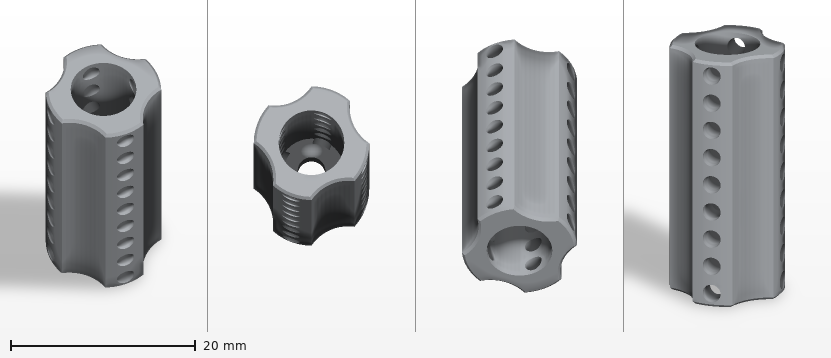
import cadquery as cq

body_diameter = 12.5
hole_rows = 9
row_pitch = 3.125
body_height = hole_rows * row_pitch
edge_chamfer = 0.3

flute_count = 4
flute_first_angle = 45
flute_radius = 4.75
flute_depth = 1.28

bore_diameter = 7.1
web_drop = 3.0
web_thickness = 2.55
web_top = body_height / 2 - web_drop
web_bottom = web_top - web_thickness
web_hole_diameter = 3.0

side_hole_diameter = 2.0
side_hole_core_diameter = 6.0
lobe_count = flute_count


def cylinder(diameter, bottom, top):
    """Cylinder about the part axis between two heights."""
    return cq.Workplane("XY").workplane(offset=bottom).circle(diameter / 2).extrude(top - bottom)


def fluted_body():
    """Round bar with concave flutes and chamfered end edges."""
    flute_center_distance = body_diameter / 2 - flute_depth + flute_radius
    flutes = (
        cq.Workplane("XY")
        .polarArray(flute_center_distance, flute_first_angle, 360, flute_count)
        .circle(flute_radius)
        .extrude(body_height)
    )
    body = cylinder(body_diameter, 0, body_height).cut(flutes)
    return body.faces("<Z or >Z").edges().chamfer(edge_chamfer)


def axial_bores():
    """Lower bore, upper bore and the small hole joining them through the web."""
    lower_bore = cylinder(bore_diameter, 0, web_bottom)
    upper_bore = cylinder(bore_diameter, web_top, body_height)
    web_hole = cylinder(web_hole_diameter, 0, body_height)
    return lower_bore.union(upper_bore).union(web_hole)


def side_holes():
    """Row of radial holes in every lobe, ending on the round core."""
    row_heights = [(row + 0.5) * row_pitch for row in range(hole_rows)]
    one_lobe = (
        cq.Workplane("XZ")
        .pushPoints([(0, height) for height in row_heights])
        .circle(side_hole_diameter / 2)
        .extrude(body_diameter / 2)
    )
    holes = one_lobe
    for lobe in range(1, lobe_count):
        turn = lobe * 360 / lobe_count
        holes = holes.union(one_lobe.rotate((0, 0, 0), (0, 0, 1), turn))
    return holes.cut(cylinder(side_hole_core_diameter, 0, body_height))


result = fluted_body().cut(axial_bores()).cut(side_holes())